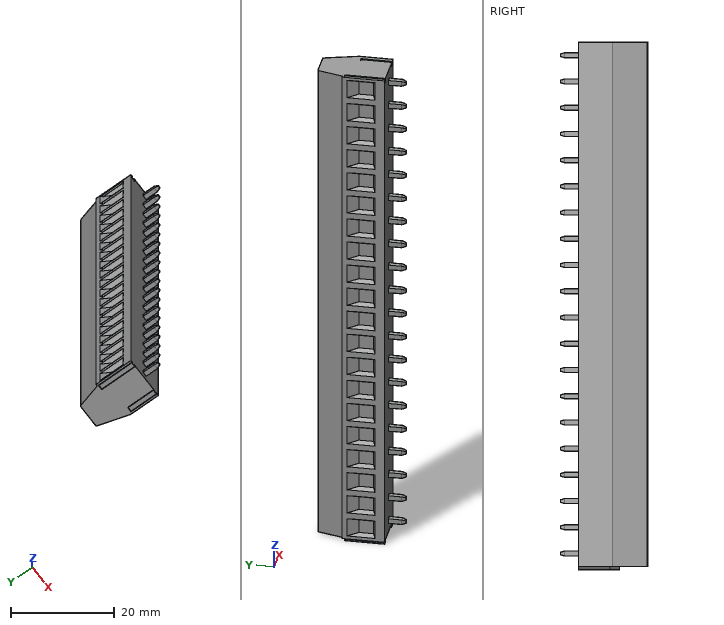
import cadquery as cq
import math

total_length = 102.2
tongue_height = 0.6
pole_count = 20
body_width = 9.0
body_height = 13.5
body_length = total_length - tongue_height
pitch = body_length / pole_count

wire_shoulder_y = 8.4
wire_shoulder_step = 0.4
back_shoulder_y = 6.6
top_left_x = 1.7
top_right_x = 7.1
top_chamfer = 0.2

entry_bottom_y = 1.8
entry_top_y = 7.4
entry_length = 3.8
entry_depth = 1.0
floor_bottom_y = 2.4
floor_top_y = 5.2
floor_length = 2.9

pin_size = 1.0
pin_length = 3.5
pin_tip_length = 0.8
pin_tip_size = 0.5

wire_tongue_outer_x = 0.3
wire_tongue_inner_x = 1.3
wire_tongue_top_y = 8.0
back_tongue_inner_x = 7.4
back_tongue_outer_x = 8.4
back_tongue_top_y = 6.1
tongue_undercut = 0.3
tongue_flare_height = 0.3
groove_clearance = 0.1
groove_depth = tongue_height + groove_clearance


def pole_centres():
    return [(pole + 0.5) * pitch for pole in range(pole_count)]


def make_body():
    outline = [
        (0, 0),
        (body_width, 0),
        (body_width, back_shoulder_y),
        (top_right_x, body_height - top_chamfer),
        (top_right_x - top_chamfer, body_height),
        (top_left_x + top_chamfer, body_height),
        (top_left_x, body_height - top_chamfer),
        (wire_shoulder_step, wire_shoulder_y),
        (0, wire_shoulder_y),
    ]
    return cq.Workplane("XY").polyline(outline).close().extrude(body_length)


def make_entry(centre_z):
    """Funnel that narrows from the -X face down to a flat floor."""
    mouth_centre_y = (entry_bottom_y + entry_top_y) / 2
    floor_centre_y = (floor_bottom_y + floor_top_y) / 2
    return (
        cq.Workplane("YZ", origin=(0, mouth_centre_y, centre_z))
        .rect(entry_top_y - entry_bottom_y, entry_length)
        .workplane(offset=entry_depth)
        .center(floor_centre_y - mouth_centre_y, 0)
        .rect(floor_top_y - floor_bottom_y, floor_length)
        .loft(ruled=True)
    )


def make_pin(centre_z):
    """Square pin with a tapered tip, pointing along -Y."""
    shank_length = pin_length - pin_tip_length
    base = cq.Workplane("XZ", origin=(body_width / 2, 0, centre_z))
    shank = base.rect(pin_size, pin_size).extrude(shank_length)
    tip = (
        base.workplane(offset=shank_length)
        .rect(pin_size, pin_size)
        .workplane(offset=pin_tip_length)
        .rect(pin_tip_size, pin_tip_size)
        .loft(ruled=True)
    )
    return shank.union(tip)


def make_rail(outer_x, inner_x, top_y, base_z, depth):
    """Bar below base_z from the -Y face up to top_y: a narrow root that flares to straight sides."""
    undercut_x = math.copysign(tongue_undercut, inner_x - outer_x)
    flare_z = base_z - tongue_flare_height
    tip_z = base_z - depth
    section = [
        (outer_x + undercut_x, base_z),
        (inner_x - undercut_x, base_z),
        (inner_x, flare_z),
        (inner_x, tip_z),
        (outer_x, tip_z),
        (outer_x, flare_z),
    ]
    return cq.Workplane("XZ").polyline(section).close().extrude(-top_y)


def make_rail_pair(base_z, depth):
    wire_rail = make_rail(wire_tongue_outer_x, wire_tongue_inner_x, wire_tongue_top_y, base_z, depth)
    back_rail = make_rail(back_tongue_outer_x, back_tongue_inner_x, back_tongue_top_y, base_z, depth)
    return wire_rail.union(back_rail)


grooves = make_rail_pair(body_length, groove_depth)
tongues = make_rail_pair(0, tongue_height)
result = make_body().cut(grooves).union(tongues)
for pole_z in pole_centres():
    result = result.cut(make_entry(pole_z)).union(make_pin(pole_z))